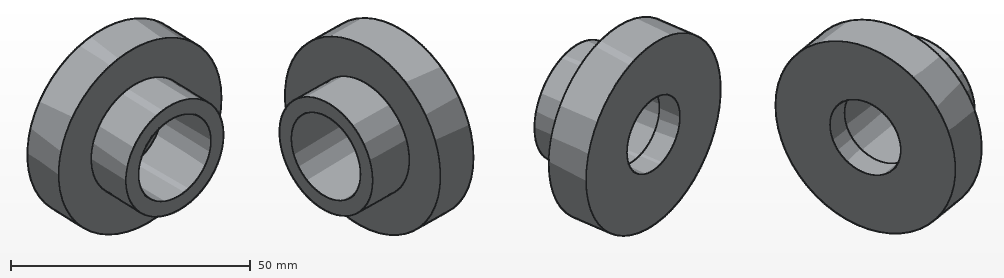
import cadquery as cq

flange_diameter = 45.0
flange_thickness = 10.0
hub_diameter = 27.0
total_length = 21.0
bore_diameter = 17.7
bore_depth = 5.5
counterbore_diameter = 20.0

hub_length = total_length - flange_thickness
counterbore_depth = total_length - bore_depth


def cylinder_along_x(diameter, start, length):
    """Solid cylinder on the X axis, running from start towards +X."""
    return cq.Workplane("YZ", origin=(start, 0, 0)).circle(diameter / 2).extrude(length)


flange = cylinder_along_x(flange_diameter, 0, flange_thickness)
hub = cylinder_along_x(hub_diameter, flange_thickness, hub_length)
body = flange.union(hub)

bore = cylinder_along_x(bore_diameter, 0, bore_depth)
counterbore = cylinder_along_x(counterbore_diameter, bore_depth, counterbore_depth)

result = body.cut(bore).cut(counterbore)